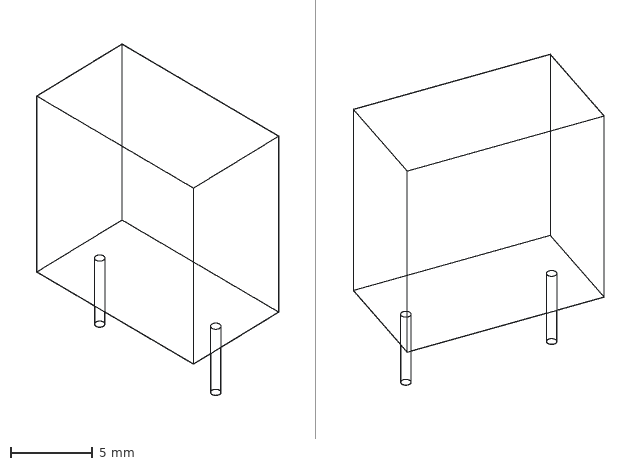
import cadquery as cq

case_length = 13.51
case_width = 7.49
case_height = 13.51
lead_diameter = 0.64
lead_length = 5.08
lead_pitch = 10.0


def make_case():
    """Rectangular case standing on the XY plane, centred on the Z axis."""
    return cq.Workplane("XY").box(case_length, case_width, case_height, centered=(True, True, False))


def make_lead(x):
    """Round lead hanging down from the underside of the case at the given X."""
    return cq.Workplane("XY").center(x, 0).circle(lead_diameter / 2).extrude(-lead_length)


case = make_case()
leads = [make_lead(side * lead_pitch / 2) for side in (-1, 1)]

result = cq.Compound.makeCompound([case.val(), *[lead.val() for lead in leads]])